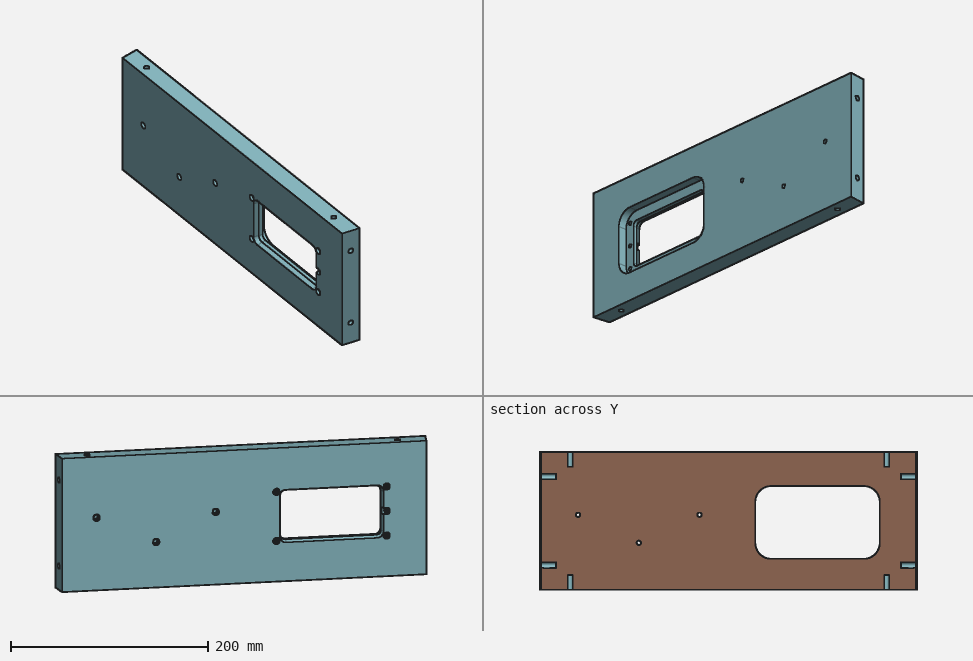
import cadquery as cq
import math

back_length = 382.43
lean_angle = math.radians(8)
thickness = 20.0
height = 140.0
mid_length = back_length - thickness * math.tan(lean_angle)
front_length = 2 * mid_length - back_length
front_y = -thickness / 2

window_x = 90.3
window_z = -1.65
window_length = 104.0
window_height = 51.6
window_radius = 5.0
bevel_width = 1.8
bevel_depth = 5.4
recess_margin = 11.0
recess_depth = 10.0

window_screw_diameter = 3.8
window_counterbore_diameter = 6.7
window_counterbore_depth = 3.5
window_screw_pitch_x = 114.0
window_screw_pitch_z = 51.4

trio_screw_diameter = 4.2
trio_counterbore_diameter = 6.8
trio_counterbore_depth = 5.0
trio_x = -91.0
trio_pitch_x = 61.6
trio_upper_z = 6.1
trio_lower_z = -22.3

edge_hole_diameter = 5.5
edge_hole_depth = 15.0
edge_hole_pitch = 321.0
end_hole_diameter = 5.5
end_hole_depth = 15.0
end_hole_pitch = 90.0


def make_plate():
    """Trapezoid in plan, extruded over the full height."""
    outline = [
        (-front_length / 2, front_y),
        (front_length / 2, front_y),
        (back_length / 2, -front_y),
        (-back_length / 2, -front_y),
    ]
    return cq.Workplane("XY").polyline(outline).close().extrude(height / 2, both=True)


def front_plane():
    """Sketch plane on the front face, with +X right, +Z up and its normal towards -Y."""
    return cq.Workplane("XZ", origin=(0, front_y, 0))


def rounded_outline(margin):
    """Rounded rectangle larger than the window by a margin all round."""
    length = window_length + 2 * margin
    width = window_height + 2 * margin
    return cq.Sketch().rect(length, width).vertices().fillet(window_radius + margin)


def window_plane(depth):
    """Sketch plane centred on the window at a depth behind the front face."""
    return front_plane().workplane(offset=-depth).center(window_x, window_z)


def window_cutter():
    """Straight opening, its front bevel and the recess in the back face."""
    opening = window_plane(0).placeSketch(rounded_outline(0)).extrude(-thickness)
    bevel = (
        window_plane(0)
        .placeSketch(
            rounded_outline(bevel_width),
            rounded_outline(0).moved(cq.Location(cq.Vector(0, 0, -bevel_depth))),
        )
        .loft()
    )
    recess_floor = window_plane(thickness - recess_depth)
    recess = recess_floor.placeSketch(rounded_outline(recess_margin)).extrude(-recess_depth)
    return opening.union(bevel).union(recess)


def counterbored_holes(positions, diameter, counterbore_diameter, counterbore_depth):
    """Through holes with counterbores at places (x, z) on the front face."""
    holes = front_plane().pushPoints(positions).circle(diameter / 2).extrude(-thickness)
    counterbores = (
        front_plane().pushPoints(positions).circle(counterbore_diameter / 2).extrude(-counterbore_depth)
    )
    return holes.union(counterbores)


def window_screw_cutter():
    """Four corner screws and one on the right, whose counterbore opens into the window."""
    left = window_x - window_screw_pitch_x / 2
    right = window_x + window_screw_pitch_x / 2
    top = window_z + window_screw_pitch_z / 2
    bottom = window_z - window_screw_pitch_z / 2
    positions = [(left, top), (left, bottom), (right, top), (right, window_z), (right, bottom)]
    holes = counterbored_holes(
        positions, window_screw_diameter, window_counterbore_diameter, window_counterbore_depth
    )
    channel_length = right - (window_x + window_length / 2)
    channel = (
        front_plane()
        .center(right - channel_length / 2, window_z)
        .rect(channel_length, window_counterbore_diameter)
        .extrude(-window_counterbore_depth)
    )
    return holes.union(channel)


def trio_cutter():
    """Two upper screws and a lower one midway between them."""
    positions = [
        (trio_x - trio_pitch_x, trio_upper_z),
        (trio_x, trio_lower_z),
        (trio_x + trio_pitch_x, trio_upper_z),
    ]
    return counterbored_holes(
        positions, trio_screw_diameter, trio_counterbore_diameter, trio_counterbore_depth
    )


def blind_hole(mouth, direction, diameter, depth):
    """Cylinder that starts at the mouth and runs into the plate."""
    return cq.Solid.makeCylinder(diameter / 2, depth, cq.Vector(*mouth), cq.Vector(*direction))


def edge_hole_cutter():
    """Two holes in the top edge and two in the bottom edge, at mid thickness."""
    holes = cq.Workplane("XY")
    for side in (-1, 1):
        for level in (-1, 1):
            mouth = (side * edge_hole_pitch / 2, 0, level * height / 2)
            inward = (0, 0, -level)
            holes = holes.add(blind_hole(mouth, inward, edge_hole_diameter, edge_hole_depth))
    return holes.combine()


def end_hole_cutter():
    """Two holes square to each leaning end face, at mid thickness."""
    holes = cq.Workplane("XY")
    for side in (-1, 1):
        for level in (-1, 1):
            mouth = (side * mid_length / 2, 0, level * end_hole_pitch / 2)
            inward = (-side * math.cos(lean_angle), math.sin(lean_angle), 0)
            holes = holes.add(blind_hole(mouth, inward, end_hole_diameter, end_hole_depth))
    return holes.combine()


result = make_plate()
result = result.cut(window_cutter())
result = result.cut(window_screw_cutter())
result = result.cut(trio_cutter())
result = result.cut(edge_hole_cutter())
result = result.cut(end_hole_cutter())